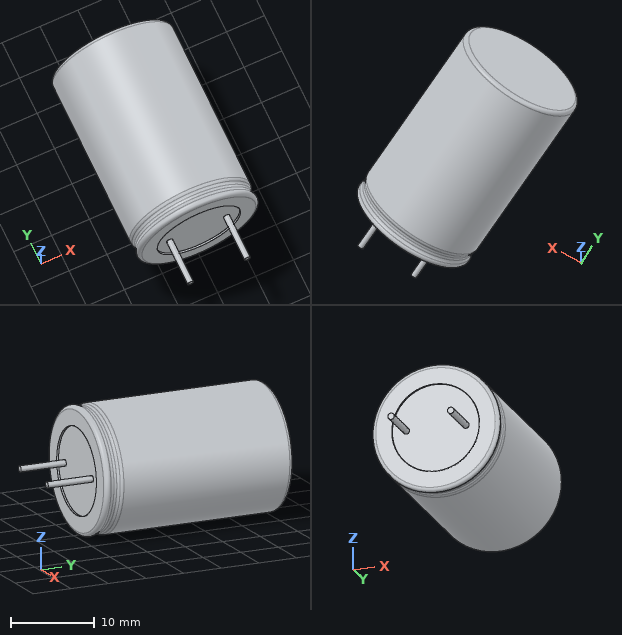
import cadquery as cq
import math


can_diameter = 16.04
can_length = 25.0
end_rounding = 0.5

groove_depth = 0.25
groove_floor_start = 1.25
groove_floor_end = 1.625
groove_inflection = 2.02
groove_end = 2.45

recess_diameter = 11.0
recess_depth = 0.25

lead_diameter = 0.8
lead_pitch = 7.5
lead_protrusion = 5.75

can_radius = can_diameter / 2
floor_radius = can_radius - groove_depth


def point_on_arc(center, radius, angle):
    """Point at the given angle from the radial direction, in (radius, Y) coordinates."""
    return (center[0] + radius * math.cos(angle), center[1] + radius * math.sin(angle))


def make_can():
    """Revolved can: rounded bead, crimp groove and rounded far end."""
    bead_center = (can_radius - end_rounding, end_rounding)
    lower_run = groove_floor_start - end_rounding
    lower_angle = 2 * math.atan(groove_depth / lower_run)
    bead_end = point_on_arc(bead_center, end_rounding, lower_angle)
    bead_middle = (can_radius, end_rounding)

    lower_radius = lower_run / math.sin(lower_angle) - end_rounding
    lower_center = (floor_radius + lower_radius, groove_floor_start)
    lower_middle = point_on_arc(lower_center, -lower_radius, lower_angle / 2)

    upper_run = groove_end - groove_floor_end
    upper_angle = 2 * math.atan(groove_depth / upper_run)
    concave_radius = (groove_inflection - groove_floor_end) / math.sin(upper_angle)
    convex_radius = (groove_end - groove_inflection) / math.sin(upper_angle)
    concave_center = (floor_radius + concave_radius, groove_floor_end)
    convex_center = (can_radius - convex_radius, groove_end)
    concave_middle = point_on_arc(concave_center, -concave_radius, -upper_angle / 2)
    concave_end = point_on_arc(concave_center, -concave_radius, -upper_angle)
    convex_middle = point_on_arc(convex_center, convex_radius, -upper_angle / 2)

    far_center = (can_radius - end_rounding, can_length - end_rounding)
    far_middle = point_on_arc(far_center, end_rounding, math.pi / 4)

    profile = (
        cq.Workplane("XY")
        .lineTo(can_radius - end_rounding, 0)
        .threePointArc(bead_middle, bead_end)
        .threePointArc(lower_middle, (floor_radius, groove_floor_start))
        .lineTo(floor_radius, groove_floor_end)
        .threePointArc(concave_middle, concave_end)
        .threePointArc(convex_middle, (can_radius, groove_end))
        .lineTo(can_radius, can_length - end_rounding)
        .threePointArc(far_middle, (can_radius - end_rounding, can_length))
        .lineTo(0, can_length)
        .close()
    )
    return profile.revolve(360, (0, 0, 0), (0, 1, 0))


def cylinder_along_y(diameter, y_start, y_end, x=0):
    """Cylinder parallel to Y at the given X, spanning y_start to y_end."""
    axis = cq.Vector(0, 1, 0)
    base = cq.Vector(x, y_start, 0)
    return cq.Workplane(cq.Solid.makeCylinder(diameter / 2, y_end - y_start, base, axis))


def cut_recess(can):
    """Shallow round recess in the sealed face."""
    return can.cut(cylinder_along_y(recess_diameter, 0, recess_depth))


def add_leads(can):
    """Two round leads rising from the recess floor."""
    for x in (-lead_pitch / 2, lead_pitch / 2):
        can = can.union(cylinder_along_y(lead_diameter, -lead_protrusion, recess_depth, x))
    return can


result = add_leads(cut_recess(make_can()))